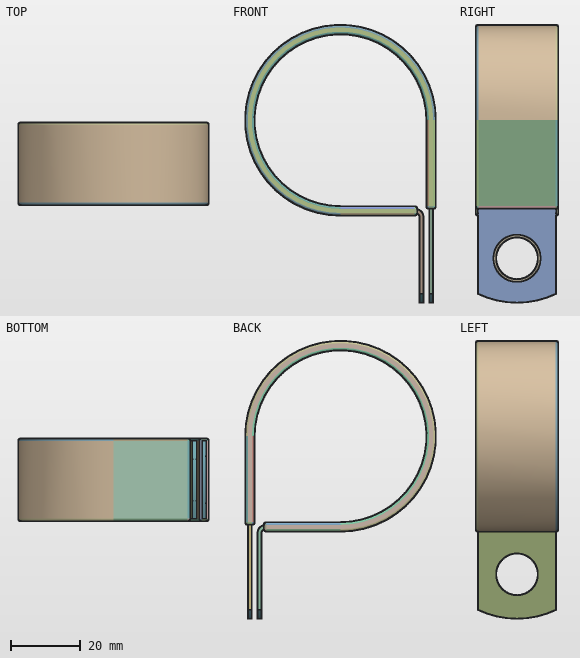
import cadquery as cq
import math

overall_height = 79.8
outer_radius = 27.405
cushion_width = 23.8
cushion_thickness = 2.8
cushion_rounding = 0.8
strap_width = 22.4
strap_thickness = 1.2
side_leg_length = 25.45
bottom_leg_length = 22.0
bent_tab_face_x = 23.85
bend_radius = 1.2
tab_crown = 2.55
bent_tab_hole_diameter = 11.9
straight_tab_hole_diameter = 13.6
hole_height = 12.8

inner_radius = outer_radius - cushion_thickness
strap_outer = outer_radius - (cushion_thickness - strap_thickness) / 2
strap_inner = strap_outer - strap_thickness
tab_bottom = outer_radius - overall_height
bend_outer_radius = bend_radius + strap_thickness
bend_center_x = bent_tab_face_x - bend_outer_radius
bend_center_z = -strap_inner - bend_outer_radius
diagonal = math.sqrt(0.5)


def make_cushion():
    """Three-quarter loop with two straight legs, rounded on its rims and ends."""
    outline = (
        cq.Workplane("XZ")
        .moveTo(outer_radius, -side_leg_length)
        .lineTo(outer_radius, 0)
        .threePointArc((0, outer_radius), (-outer_radius, 0))
        .threePointArc((-outer_radius * diagonal, -outer_radius * diagonal), (0, -outer_radius))
        .lineTo(bottom_leg_length, -outer_radius)
        .lineTo(bottom_leg_length, -inner_radius)
        .lineTo(0, -inner_radius)
        .threePointArc((-inner_radius * diagonal, -inner_radius * diagonal), (-inner_radius, 0))
        .threePointArc((0, inner_radius), (inner_radius, 0))
        .lineTo(inner_radius, -side_leg_length)
        .close()
    )
    margin = 0.1
    body = outline.extrude(cushion_width / 2, both=True)
    rims = body.faces("<Y or >Y").edges().vals()
    end_boxes = [
        cq.selectors.BoxSelector(
            (inner_radius - margin, -cushion_width, -side_leg_length - margin),
            (outer_radius + margin, cushion_width, -side_leg_length + margin),
        ),
        cq.selectors.BoxSelector(
            (bottom_leg_length - margin, -cushion_width, -outer_radius - margin),
            (bottom_leg_length + margin, cushion_width, -inner_radius + margin),
        ),
    ]
    leg_ends = body.edges("|Y").edges(end_boxes[0] + end_boxes[1]).vals()
    return body.newObject(rims + leg_ends).fillet(cushion_rounding)


def make_straight_tab():
    """Strap running straight down out of the side leg."""
    return (
        cq.Workplane("XY")
        .box(strap_thickness, strap_width, -tab_bottom, centered=(False, True, False))
        .translate((strap_inner, 0, tab_bottom))
    )


def make_bent_tab():
    """Strap leaving the bottom leg and bending down beside the straight tab."""
    return (
        cq.Workplane("XZ")
        .moveTo(0, -strap_inner)
        .lineTo(bend_center_x, -strap_inner)
        .threePointArc(
            (bend_center_x + bend_outer_radius * diagonal, bend_center_z + bend_outer_radius * diagonal),
            (bent_tab_face_x, bend_center_z),
        )
        .lineTo(bent_tab_face_x, tab_bottom)
        .lineTo(bent_tab_face_x - strap_thickness, tab_bottom)
        .lineTo(bent_tab_face_x - strap_thickness, bend_center_z)
        .threePointArc(
            (bend_center_x + bend_radius * diagonal, bend_center_z + bend_radius * diagonal),
            (bend_center_x, -strap_outer),
        )
        .lineTo(0, -strap_outer)
        .close()
        .extrude(strap_width / 2, both=True)
    )


def make_tab_envelope(hole_diameter):
    """Prism along X with the crowned tab end and the bolt hole."""
    half_width = strap_width / 2
    return (
        cq.Workplane("YZ")
        .moveTo(-half_width, 0)
        .lineTo(-half_width, tab_bottom + tab_crown)
        .threePointArc((0, tab_bottom), (half_width, tab_bottom + tab_crown))
        .lineTo(half_width, 0)
        .close()
        .moveTo(0, tab_bottom + hole_height)
        .circle(hole_diameter / 2)
        .extrude(outer_radius)
    )


straight_tab = make_straight_tab().intersect(make_tab_envelope(straight_tab_hole_diameter))
bent_tab = make_bent_tab().intersect(make_tab_envelope(bent_tab_hole_diameter))
result = make_cushion().union(straight_tab).union(bent_tab)